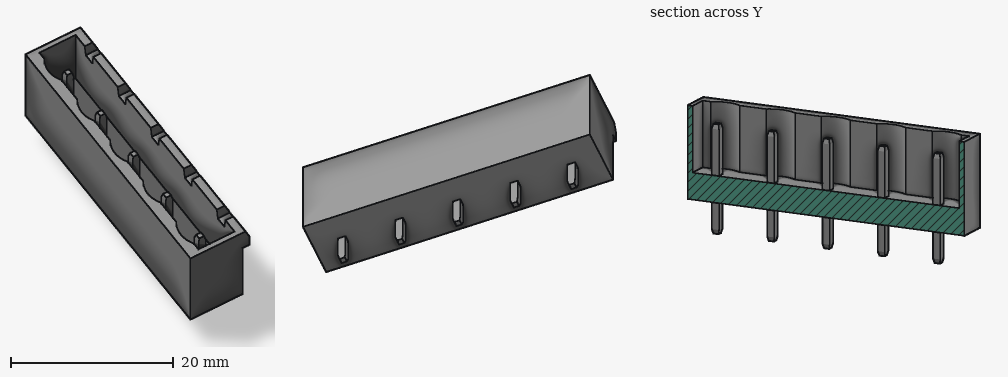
import cadquery as cq

PIN_COUNT = 5
PITCH = 7.62
LENGTH = PIN_COUNT * PITCH
BODY_DEPTH = 7.6
BODY_HEIGHT = 12.0

LEDGE_OVERHANG = 1.0
LEDGE_HEIGHT = 3.0
LEDGE_BEVEL_DEPTH = 0.6
LEDGE_BEVEL_HEIGHT = 1.4

END_WALL = 0.7
FRONT_WALL = 1.6
BACK_WALL = 0.75
CAVITY_DEPTH = 8.5
SCALLOP_WIDTH = 4.0
SCALLOP_SAGITTA = 0.6

NOTCH_TOP_WIDTH = 2.0
NOTCH_FLOOR_WIDTH = 1.5
NOTCH_DEPTH = 1.5

PIN_SIZE = 1.0
TIP_SIZE = 0.7
TIP_LENGTH = 0.6
PIN_TAIL = 4.0
PIN_TOP = 10.0

FRONT_Y = -BODY_DEPTH / 2
BACK_Y = BODY_DEPTH / 2
LEDGE_Y = BACK_Y + LEDGE_OVERHANG
CAVITY_FRONT_Y = FRONT_Y + FRONT_WALL
CAVITY_BACK_Y = BACK_Y - BACK_WALL
CAVITY_FLOOR_Z = BODY_HEIGHT - CAVITY_DEPTH
PIN_XS = [(i - (PIN_COUNT - 1) / 2) * PITCH for i in range(PIN_COUNT)]


def make_housing():
    """Extrude the end profile, with its bevelled ledge, along the full length."""
    profile = [
        (FRONT_Y, 0),
        (BACK_Y, 0),
        (BACK_Y, BODY_HEIGHT - LEDGE_HEIGHT),
        (LEDGE_Y, BODY_HEIGHT - LEDGE_HEIGHT),
        (LEDGE_Y, BODY_HEIGHT - LEDGE_BEVEL_HEIGHT),
        (LEDGE_Y - LEDGE_BEVEL_DEPTH, BODY_HEIGHT),
        (FRONT_Y, BODY_HEIGHT),
    ]
    return cq.Workplane("YZ").polyline(profile).close().extrude(LENGTH / 2, both=True)


def make_cavity():
    """Rectangular pocket whose front side bulges into a shallow arc at each pin."""
    half_length = LENGTH / 2 - END_WALL
    outline = cq.Workplane("XY", origin=(0, 0, CAVITY_FLOOR_Z)).moveTo(-half_length, CAVITY_FRONT_Y)
    for x in PIN_XS:
        outline = outline.lineTo(x - SCALLOP_WIDTH / 2, CAVITY_FRONT_Y)
        outline = outline.threePointArc(
            (x, CAVITY_FRONT_Y - SCALLOP_SAGITTA),
            (x + SCALLOP_WIDTH / 2, CAVITY_FRONT_Y),
        )
    outline = outline.lineTo(half_length, CAVITY_FRONT_Y)
    outline = outline.lineTo(half_length, CAVITY_BACK_Y).lineTo(-half_length, CAVITY_BACK_Y)
    return outline.close().extrude(CAVITY_DEPTH)


def make_notch(x):
    """Trapezoidal notch through the back wall and ledge, wider at the top."""
    floor_z = BODY_HEIGHT - NOTCH_DEPTH
    profile = [
        (x - NOTCH_FLOOR_WIDTH / 2, floor_z),
        (x + NOTCH_FLOOR_WIDTH / 2, floor_z),
        (x + NOTCH_TOP_WIDTH / 2, BODY_HEIGHT),
        (x - NOTCH_TOP_WIDTH / 2, BODY_HEIGHT),
    ]
    plane = cq.Workplane("XZ", origin=(0, LEDGE_Y, 0))
    return plane.polyline(profile).close().extrude(LEDGE_Y - CAVITY_BACK_Y)


def make_tip(x, base_z, end_z):
    """Pyramidal pin end, narrowing from base_z to end_z."""
    tip = cq.Workplane("XY", origin=(x, 0, base_z)).rect(PIN_SIZE, PIN_SIZE)
    return tip.workplane(offset=end_z - base_z).rect(TIP_SIZE, TIP_SIZE).loft(ruled=True)


def make_pin(x):
    """Square pin passing through the cavity floor, tapered at both ends."""
    lower_z = -PIN_TAIL + TIP_LENGTH
    upper_z = PIN_TOP - TIP_LENGTH
    shank = cq.Workplane("XY", origin=(x, 0, lower_z)).rect(PIN_SIZE, PIN_SIZE).extrude(upper_z - lower_z)
    return shank.union(make_tip(x, lower_z, -PIN_TAIL)).union(make_tip(x, upper_z, PIN_TOP))


result = make_housing().cut(make_cavity())
for pin_x in PIN_XS:
    result = result.cut(make_notch(pin_x)).union(make_pin(pin_x))